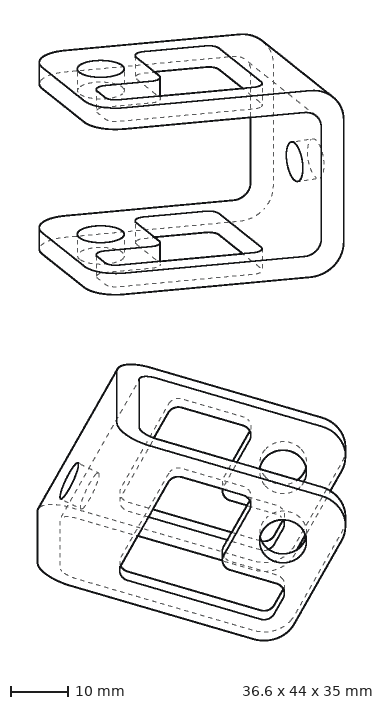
import cadquery as cq
import math

length = 44.0
height = 35.0
width = 30.0
lean_angle = 10.0
thickness = 4.0

bend_radius = 6.0
inner_bend_radius = 3.0
corner_radius = 6.0
window_radius = 2.0

window_back_gap = 12.0
window_step_y = 17.0
leg_width = 7.4

plate_hole_diameter = 8.2
plate_hole_x = 12.0
plate_hole_y = 9.0
web_hole_diameter = 7.0
web_hole_side_gap = 12.0

lean = math.tan(math.radians(lean_angle))
rim_width_x = thickness / math.cos(math.radians(lean_angle))
cut_height = 2 * height


def leaning_point(x, y):
    """Shift a point along X to follow the leaning sides; x is measured at the front."""
    return (x + y * lean, y)


def leaning_prism(corners, depth):
    """Extrude a polygon of leaning corners symmetrically about the mid-height."""
    points = [leaning_point(x, y) for x, y in corners]
    return cq.Workplane("XY").polyline(points).close().extrude(depth / 2, both=True)


def make_outline():
    """Parallelogram block with its two front corners rounded."""
    corners = [(0, 0), (width, 0), (width, length), (0, length)]
    return leaning_prism(corners, height).edges("|Z and <Y").fillet(corner_radius)


def make_channel():
    """U-profile, open toward the front, swept straight across the whole part."""
    span = 2 * (width + length)
    outer = (
        cq.Workplane("YZ").center(length / 2, 0).rect(length, height)
        .extrude(span / 2, both=True)
        .edges("|X and >Y").fillet(bend_radius)
    )
    inner_length = length - thickness
    inner = (
        cq.Workplane("YZ").center(inner_length / 2, 0).rect(inner_length, height - 2 * thickness)
        .extrude(span / 2, both=True)
        .edges("|X and >Y").fillet(inner_bend_radius)
    )
    return outer.cut(inner)


def make_window():
    """L-shaped opening through both plates, leaving a pad around the plate hole."""
    left = rim_width_x
    right = width - rim_width_x
    step = right - leg_width
    front = thickness
    back = length - window_back_gap
    corners = [
        (step, front), (right, front), (right, back),
        (left, back), (left, window_step_y), (step, window_step_y),
    ]
    return leaning_prism(corners, cut_height).edges("|Z").fillet(window_radius)


def make_plate_hole():
    return (
        cq.Workplane("XY").center(plate_hole_x, plate_hole_y)
        .circle(plate_hole_diameter / 2).extrude(cut_height / 2, both=True)
    )


def make_web_hole():
    """Hole through the back web at mid-height, offset toward the +X side."""
    web_hole_x = width + length * lean - web_hole_side_gap
    return (
        cq.Workplane("XZ").center(web_hole_x, 0)
        .circle(web_hole_diameter / 2).extrude(-2 * length)
    )


result = (
    make_outline().intersect(make_channel())
    .cut(make_window())
    .cut(make_plate_hole())
    .cut(make_web_hole())
)